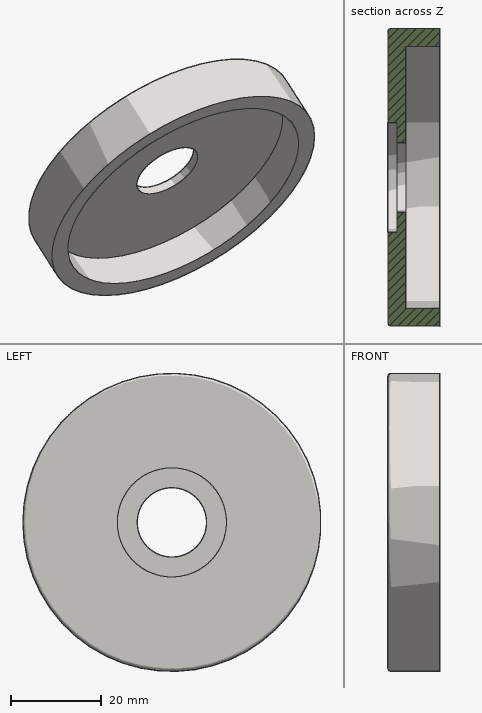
import cadquery as cq

disc_diameter = 65.79
disc_thickness = 11.48
rim_fillet = 0.75
bore_diameter = 15.24
bore_length = 2.0
counterbore_diameter = 24.08
counterbore_depth = 2.0

wall_thickness = counterbore_depth + bore_length
cavity_diameter = disc_diameter - 2 * wall_thickness


def cylinder_on_axis(diameter, start, end):
    """Cylinder about the X axis between two X positions."""
    return cq.Workplane("YZ", origin=(start, 0, 0)).circle(diameter / 2).extrude(end - start)


def make_disc():
    """Disc from the YZ plane toward +X, with its -X rim rounded."""
    disc = cylinder_on_axis(disc_diameter, 0, disc_thickness)
    return disc.faces("<X").edges().fillet(rim_fillet)


def cut_bore(body):
    """Stepped central bore through the web, its wider step open on the -X face."""
    counterbore = cylinder_on_axis(counterbore_diameter, 0, counterbore_depth)
    bore = cylinder_on_axis(bore_diameter, 0, wall_thickness)
    return body.cut(counterbore).cut(bore)


def cut_cavity(body):
    """Round cavity open on the +X face, leaving the web and the outer rim."""
    return body.cut(cylinder_on_axis(cavity_diameter, wall_thickness, disc_thickness))


result = cut_cavity(cut_bore(make_disc()))